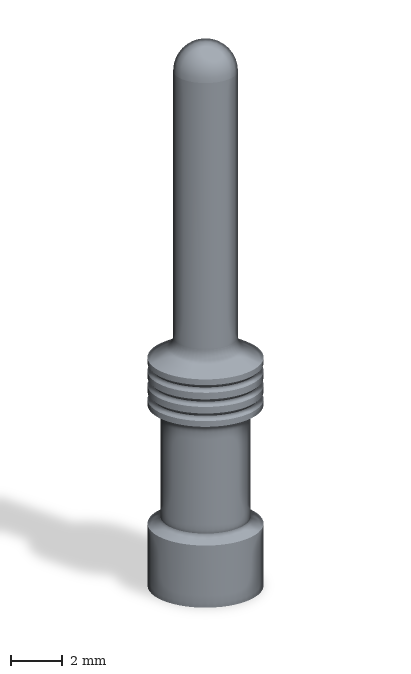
import cadquery as cq
import math

total_length = 22.8
body_diameter = 4.5
neck_diameter = 3.49
body_radius = body_diameter / 2
neck_radius = neck_diameter / 2
pin_radius = 1.25

base_height = 2.6
base_cone_top = 2.9
collar_bottom = 7.57
collar_top = 9.55

cone_angle = math.radians(30)
fillet_radius = 0.45

groove_count = 3
groove_pitch = 0.6
groove_depth = 0.15


def fillet_point(angle):
    """Point on the fillet, with the angle measured down from the pin tangent."""
    radius = pin_radius + fillet_radius * (1 - math.cos(angle))
    return radius, fillet_top - fillet_radius * math.sin(angle)


def cut_groove(body, height):
    """Cut one V groove around the collar, centred at the given height."""
    groove = (
        cq.Workplane("XZ")
        .moveTo(body_radius - groove_depth, height)
        .lineTo(body_radius + groove_depth, height + 2 * groove_depth)
        .lineTo(body_radius + groove_depth, height - 2 * groove_depth)
        .close()
        .revolve(360, (0, 0, 0), (0, 1, 0))
    )
    return body.cut(groove)


fillet_turn = math.pi / 2 - cone_angle
cone_end_radius = pin_radius + fillet_radius * (1 - math.cos(fillet_turn))
cone_end_height = collar_top + (body_radius - cone_end_radius) * math.tan(cone_angle)
fillet_top = cone_end_height + fillet_radius * math.sin(fillet_turn)

tip_centre = total_length - pin_radius
tip_middle = pin_radius * math.sqrt(0.5)

result = (
    cq.Workplane("XZ")
    .lineTo(body_radius, 0)
    .lineTo(body_radius, base_height)
    .lineTo(neck_radius, base_cone_top)
    .lineTo(neck_radius, collar_bottom)
    .lineTo(body_radius, collar_bottom)
    .lineTo(body_radius, collar_top)
    .lineTo(cone_end_radius, cone_end_height)
    .threePointArc(fillet_point(fillet_turn / 2), (pin_radius, fillet_top))
    .lineTo(pin_radius, tip_centre)
    .threePointArc((tip_middle, tip_centre + tip_middle), (0, total_length))
    .close()
    .revolve(360, (0, 0, 0), (0, 1, 0))
)

collar_middle = (collar_bottom + collar_top) / 2
for index in range(groove_count):
    offset = (index - (groove_count - 1) / 2) * groove_pitch
    result = cut_groove(result, collar_middle + offset)